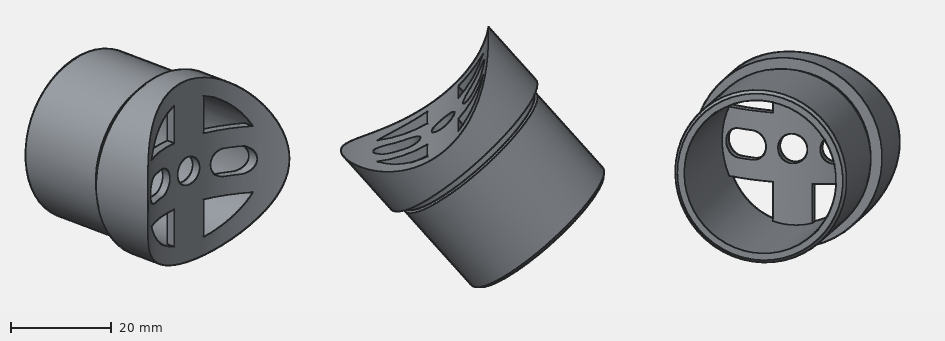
import cadquery as cq

bore_diameter = 31.0
sleeve_diameter = 35.0
neck_diameter = 34.0
flange_diameter = 38.6
sleeve_length = 21.3
neck_length = 1.7
entry_chamfer = 0.6
neck_chamfer = 0.4
flange_start = sleeve_length + neck_length

overall_length = 38.0
saddle_radius = 25.4
flange_radius = flange_diameter / 2
saddle_axis_x = overall_length + (saddle_radius**2 - flange_radius**2) ** 0.5

web_thickness = 2.0
upright_width = 8.05
crossbar_height = 14.05
hole_diameter = 6.0
slot_length = 9.0
slot_offset = 10.05


def disc(diameter, start, length):
    """Solid cylinder along X."""
    return cq.Workplane("YZ", origin=(start, 0, 0)).circle(diameter / 2).extrude(length)


def saddle_cylinder(radius):
    """Cylinder concentric with the saddle, as tall as the flange."""
    return (
        cq.Workplane("XY", origin=(saddle_axis_x, 0, -flange_radius))
        .circle(radius)
        .extrude(flange_diameter)
    )


def make_body():
    sleeve = disc(sleeve_diameter, 0, sleeve_length)
    sleeve = sleeve.faces("<X").chamfer(entry_chamfer)
    sleeve = sleeve.faces(">X").chamfer(neck_chamfer)
    neck = disc(neck_diameter, sleeve_length, neck_length)
    flange = disc(flange_diameter, flange_start, overall_length - flange_start)
    bore = disc(bore_diameter, 0, overall_length)
    return sleeve.union(neck).union(flange).cut(bore)


def make_web():
    section = cq.Workplane("YZ")
    upright = section.rect(upright_width, flange_diameter).extrude(overall_length)
    crossbar = section.rect(flange_diameter, crossbar_height).extrude(overall_length)
    hole = section.circle(hole_diameter / 2).extrude(overall_length)
    slots = (
        section.pushPoints([(-slot_offset, 0), (slot_offset, 0)])
        .slot2D(slot_length, hole_diameter)
        .extrude(overall_length)
    )
    web_diameter = (bore_diameter + neck_diameter) / 2
    envelope = disc(web_diameter, flange_start, overall_length - flange_start)
    cross = upright.union(crossbar).intersect(envelope)
    web = cross.intersect(saddle_cylinder(saddle_radius + web_thickness))
    return web.cut(hole).cut(slots)


result = make_body().union(make_web()).cut(saddle_cylinder(saddle_radius))